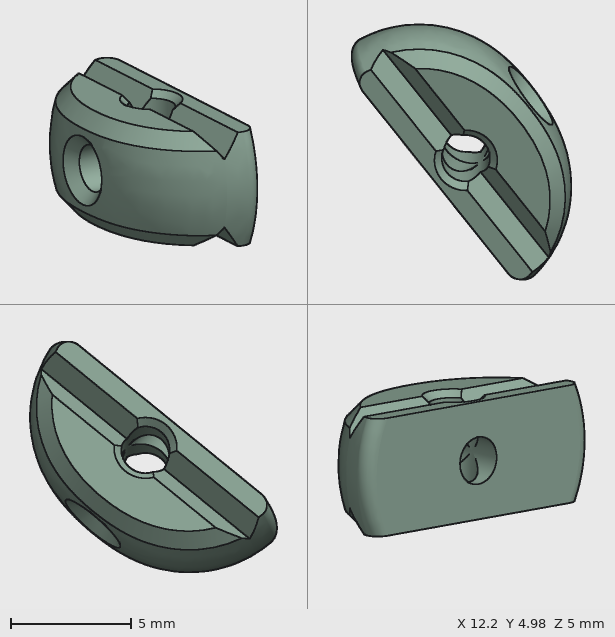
import cadquery as cq
import math

depth = 5.0
height = 5.0
half_height = height / 2

nose_flat_radius = 1.0
side_radius = 5.15
back_fillet = 0.55

groove_y = -1.59
groove_half_width = 0.75
groove_depth = 1.0

chamfer_flat = 0.4
chamfer_side = 0.7

hole_diameter = 2.0
hole_radius = hole_diameter / 2
vertical_sink_diameter = 2.61
nose_sink_diameter = 3.03
cut_margin = 1.22


def revolved_body():
    """Disc with a rounded nose and a rounded back rim, revolved about Y."""
    side_center_y = side_radius - depth
    fillet_center_y = -back_fillet
    center_distance = side_radius - back_fillet
    drop = side_center_y - fillet_center_y
    fillet_center_x = nose_flat_radius + math.sqrt(center_distance**2 - drop**2)
    tangent_angle = -math.asin(drop / center_distance)

    def side_point(angle):
        return (
            nose_flat_radius + side_radius * math.cos(angle),
            side_center_y + side_radius * math.sin(angle),
        )

    def fillet_point(angle):
        return (
            fillet_center_x + back_fillet * math.cos(angle),
            fillet_center_y + back_fillet * math.sin(angle),
        )

    nose_angle = -math.pi / 2
    back_angle = math.pi / 2
    return (
        cq.Workplane("XY")
        .moveTo(0, -depth)
        .lineTo(nose_flat_radius, -depth)
        .threePointArc(side_point((nose_angle + tangent_angle) / 2), side_point(tangent_angle))
        .threePointArc(fillet_point((tangent_angle + back_angle) / 2), fillet_point(back_angle))
        .lineTo(0, 0)
        .close()
        .revolve(360, (0, 0, 0), (0, 1, 0))
    )


def slab(y_min, y_max):
    """Full-height block, wider than the part, between two y positions."""
    width = 4 * side_radius
    return cq.Workplane("XY").box(width, y_max - y_min, height).translate((0, (y_min + y_max) / 2, 0))


def chamfered_nose(body):
    """Part in front of the groove centre, with both curved edges chamfered."""
    nose = body.intersect(slab(-depth - cut_margin, groove_y))
    for side in (">Z", "<Z"):
        curved_edges = nose.faces(side).edges("not >Y").vals()
        nose = cq.Workplane(nose.val().chamfer(chamfer_side, chamfer_flat, curved_edges))
    return nose


def groove(side):
    """V groove along X; side is 1 for the top and -1 for the bottom."""
    return (
        cq.Workplane("YZ")
        .polyline([
            (groove_y - groove_half_width, side * half_height),
            (groove_y, side * (half_height - groove_depth)),
            (groove_y + groove_half_width, side * half_height),
        ])
        .close()
        .extrude(2 * side_radius, both=True)
    )


def countersink(mouth_diameter, mouth, direction):
    """45 degree cone from its mouth down to the hole diameter."""
    mouth_radius = mouth_diameter / 2
    cone = cq.Solid.makeCone(mouth_radius, hole_radius, mouth_radius - hole_radius, mouth, direction)
    return cq.Workplane(cone)


body = revolved_body()
back = body.intersect(slab(groove_y, cut_margin))
result = back.union(chamfered_nose(body))

for side in (1, -1):
    result = result.cut(groove(side))
    sink_mouth = cq.Vector(0, groove_y, side * half_height)
    result = result.cut(countersink(vertical_sink_diameter, sink_mouth, cq.Vector(0, 0, -side)))

vertical_hole = cq.Workplane("XY").center(0, groove_y).circle(hole_radius).extrude(height, both=True)
nose_hole = cq.Workplane("XZ").circle(hole_radius).extrude(depth + cut_margin, both=True)
nose_sink = countersink(nose_sink_diameter, cq.Vector(0, -depth, 0), cq.Vector(0, 1, 0))
result = result.cut(vertical_hole).cut(nose_hole).cut(nose_sink)